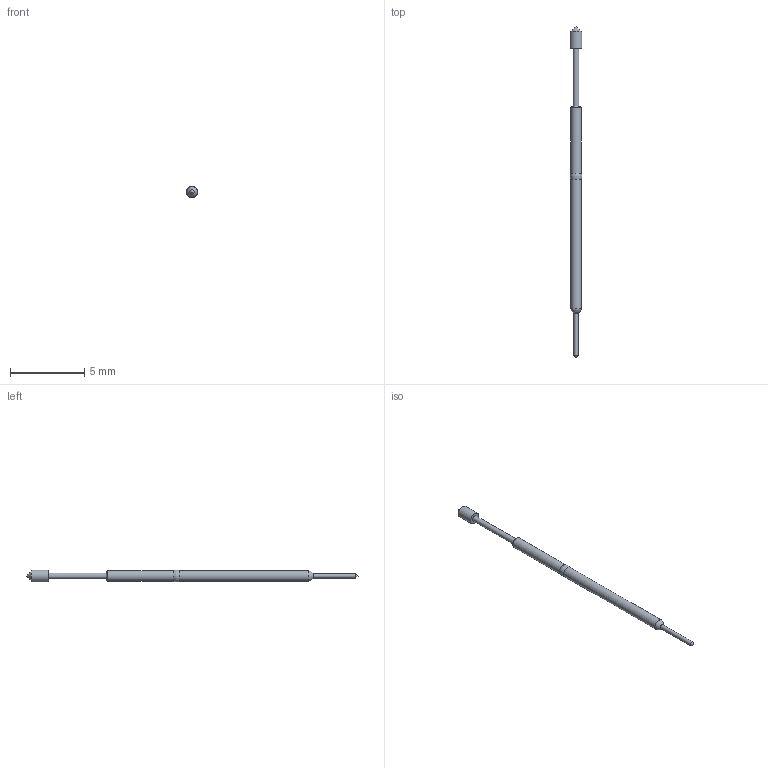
import cadquery as cq


OVERALL_LENGTH = 22.3

HEAD_DIAMETER = 0.8
HEAD_LENGTH = 1.15
SHAFT_DIAMETER = 0.39
SHAFT_LENGTH = 3.9
CONE_BASE_DIAMETER = 0.68
CONE_HEIGHT = 0.35

BARREL_DIAMETER = 0.72
BARREL_LENGTH = 13.88
MOUTH_CHAMFER = 0.08
PRESS_RING_DIAMETER = 0.8
PRESS_RING_WIDTH = 0.4
PRESS_RING_START = 4.5
ROUNDED_END_LENGTH = 0.3
ROUNDED_END_BULGE = 0.045

TAIL_DIAMETER = 0.3
TAIL_POINT_HEIGHT = 0.17

HEAD_BACK_Y = SHAFT_LENGTH
HEAD_FRONT_Y = HEAD_BACK_Y + HEAD_LENGTH
TIP_Y = HEAD_FRONT_Y + CONE_HEIGHT
TAIL_END_Y = TIP_Y - OVERALL_LENGTH


def revolve_about_y(profile):
    """Spin a closed half-profile, drawn in the XY plane, around the Y axis."""
    return profile.close().revolve(360, (0, 0), (0, 1))


def make_plunger():
    """Thin shaft carrying a cylindrical head with a narrower conical point."""
    shaft_radius = SHAFT_DIAMETER / 2
    head_radius = HEAD_DIAMETER / 2
    root_y = -PRESS_RING_START
    profile = (
        cq.Workplane("XY")
        .moveTo(0, root_y)
        .lineTo(shaft_radius, root_y)
        .lineTo(shaft_radius, HEAD_BACK_Y)
        .lineTo(head_radius, HEAD_BACK_Y)
        .lineTo(head_radius, HEAD_FRONT_Y)
        .lineTo(CONE_BASE_DIAMETER / 2, HEAD_FRONT_Y)
        .lineTo(0, TIP_Y)
    )
    return revolve_about_y(profile)


def make_barrel():
    """Long tube body with chamfered mouth, convex press ring and rounded rear end."""
    radius = BARREL_DIAMETER / 2
    end_radius = TAIL_DIAMETER / 2
    ring_front_y = -PRESS_RING_START
    ring_back_y = ring_front_y - PRESS_RING_WIDTH
    ring_crest = (PRESS_RING_DIAMETER / 2, (ring_front_y + ring_back_y) / 2)
    back_y = -BARREL_LENGTH
    rounding_y = back_y + ROUNDED_END_LENGTH
    profile = (
        cq.Workplane("XY")
        .moveTo(0, 0)
        .lineTo(radius - MOUTH_CHAMFER, 0)
        .lineTo(radius, -MOUTH_CHAMFER)
        .lineTo(radius, ring_front_y)
        .threePointArc(ring_crest, (radius, ring_back_y))
        .lineTo(radius, rounding_y)
        .sagittaArc((end_radius, back_y), ROUNDED_END_BULGE)
        .lineTo(0, back_y)
    )
    return revolve_about_y(profile)


def make_tail():
    """Thin round tail with a conical point."""
    radius = TAIL_DIAMETER / 2
    profile = (
        cq.Workplane("XY")
        .moveTo(0, -BARREL_LENGTH)
        .lineTo(radius, -BARREL_LENGTH)
        .lineTo(radius, TAIL_END_Y + TAIL_POINT_HEIGHT)
        .lineTo(0, TAIL_END_Y)
    )
    return revolve_about_y(profile)


result = make_barrel().union(make_plunger()).union(make_tail())